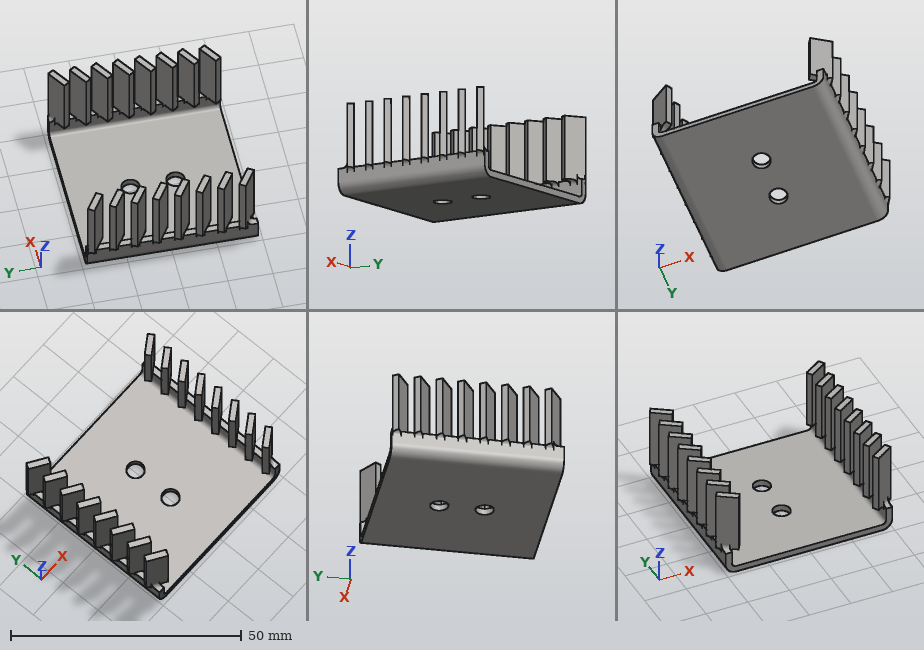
import cadquery as cq
import math

overall_width = 42.0
overall_length = 38.0
overall_height = 19.5

sheet = 1.5
inner_bend = 1.0
outer_bend = inner_bend + sheet
wall_height = 5.55
fin_overhang = 1.0
tray_width = overall_width - 2 * fin_overhang
wall_outer_x = tray_width / 2
wall_inner_x = wall_outer_x - sheet

hole_diameter = 4.0
hole_spacing = 10.0

fin_count = 8
fin_width = 5.0
fin_angle = 33.0
front_margin = 0.25
back_margin = 0.13
fillet_radius = 1.0
cos_fin = math.cos(math.radians(fin_angle))
sin_fin = math.sin(math.radians(fin_angle))
fin_span_x = fin_width * cos_fin + sheet * sin_fin
fin_span_y = fin_width * sin_fin + sheet * cos_fin
fin_x = (overall_width - fin_span_x) / 2
fin_limit_y = (overall_length - fin_span_y) / 2
front_fin_y = front_margin - fin_limit_y
back_fin_y = fin_limit_y - back_margin
fin_pitch = (back_fin_y - front_fin_y) / (fin_count - 1)


def block(x_min, x_max, length, z_min, z_max):
    """Box between the given X and Z limits, centred on Y."""
    return (
        cq.Workplane("XY")
        .box(x_max - x_min, length, z_max - z_min, centered=(False, True, False))
        .translate((x_min, 0, z_min))
    )


def bent_tray():
    """U-shaped sheet with rounded bends and the two mounting holes."""
    outside = block(-wall_outer_x, wall_outer_x, overall_length, 0, wall_height)
    outside = outside.edges("|Y and <Z").fillet(outer_bend)
    inside = block(-wall_inner_x, wall_inner_x, overall_length, sheet, overall_height)
    inside = inside.edges("|Y and <Z").fillet(inner_bend)
    holes = (
        cq.Workplane("XY")
        .pushPoints([(0, -hole_spacing / 2), (0, hole_spacing / 2)])
        .circle(hole_diameter / 2)
        .extrude(sheet)
    )
    return outside.cut(inside).cut(holes)


def fin_plate(y, z_min, z_max):
    """Twisted plate of the right-hand wall at the given Y."""
    return (
        cq.Workplane("XY")
        .box(fin_width, sheet, z_max - z_min, centered=(True, True, False))
        .rotate((0, 0, 0), (0, 0, 1), fin_angle)
        .translate((fin_x, y, z_min))
    )


def concave_corner(plane, corner_x, corner_y, x_side, y_side, length):
    """Bar that fills a square corner up to a concave quarter circle."""
    leg_x = x_side * fillet_radius
    leg_y = y_side * fillet_radius
    bend_factor = 1 - math.sqrt(0.5)
    return (
        cq.Workplane(plane)
        .moveTo(corner_x, corner_y)
        .lineTo(corner_x + leg_x, corner_y)
        .threePointArc(
            (corner_x + bend_factor * leg_x, corner_y + bend_factor * leg_y),
            (corner_x, corner_y + leg_y),
        )
        .close()
        .extrude(length / 2, both=True)
    )


def wall_root():
    """Fillets below the fins, on both faces of the right-hand wall."""
    root_bottom = wall_height - fillet_radius
    core = block(wall_inner_x, wall_outer_x, overall_length, root_bottom, wall_height)
    outer = concave_corner("XZ", wall_outer_x, wall_height, 1, -1, overall_length)
    inner = concave_corner("XZ", wall_inner_x, wall_height, -1, -1, overall_length)
    return core.union(outer).union(inner)


def end_fillet(side, fin_y):
    """Fillet from the outward face of an end fin (side -1 front, +1 back) to the wall top."""
    bar = (
        concave_corner("YZ", side * sheet / 2, wall_height, side, 1, 2 * fin_width)
        .rotate((0, 0, 0), (0, 0, 1), fin_angle)
        .translate((fin_x, fin_y, 0))
    )
    wall_column = block(wall_inner_x, wall_outer_x, overall_length, 0, overall_height)
    return bar.intersect(wall_column)


def right_fins():
    """All fins of the right-hand wall with their root and end fillets."""
    root = wall_root()
    fins = end_fillet(-1, front_fin_y).union(end_fillet(1, back_fin_y))
    for index in range(fin_count):
        y = front_fin_y + index * fin_pitch
        foot = fin_plate(y, wall_height - fillet_radius, wall_height).intersect(root)
        fins = fins.union(fin_plate(y, wall_height, overall_height)).union(foot)
    return fins


fins = right_fins()
result = bent_tray().union(fins).union(fins.mirror("YZ"))